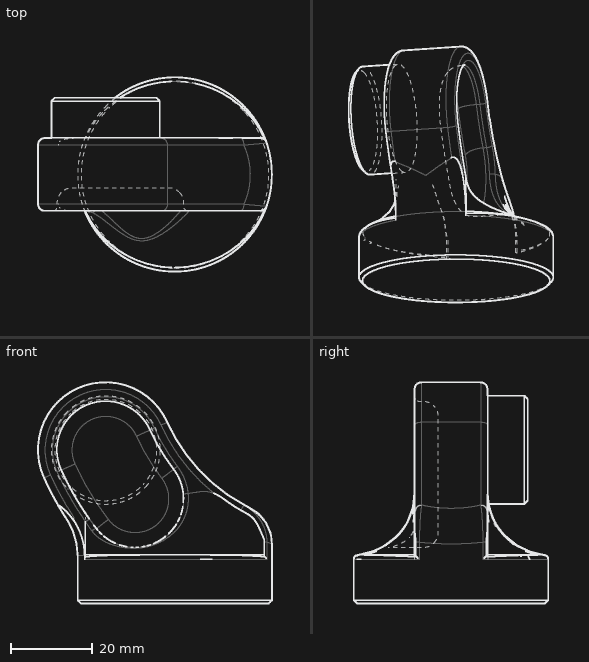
import cadquery as cq
import math

overall_length = 57.75
overall_height = 54.6

base_diameter = 48.0
base_radius = base_diameter / 2
base_height = 12.0
base_chamfer = 0.85
rim_fillet = 1.05

head_radius = 16.7
arm_half_thickness = 9.0
arm_edge_fillet = 1.75
bend_inner_radius = 43.95
bend_start_angle = 24.3
shoulder_fillet = 9.8
heel_radius = 16.15
foot_height = 5.8
foot_overrun = 2.3

boss_radius = 13.4
boss_end = 18.95
boss_chamfer = 0.85

pocket_radius = 12.0
pocket_depth = 5.8
pocket_sweep_angle = 13.3
pocket_floor_fillet = 3.7
pocket_mouth_fillet = 1.15

skirt_top = 27.4
skirt_half_width = base_radius - rim_fillet
skirt_rim_rise = 1.05
skirt_left_shoulder = -6.9
skirt_left_drop = 7.8
skirt_end_step = 0.05
skirt_section_count = 13

arc_handle = 0.55

clearance_size = 115.45

head_x = base_radius - overall_length + head_radius
head_z = overall_height - head_radius
bend_path_radius = bend_inner_radius + head_radius
bend_outer_radius = bend_path_radius + head_radius
bend_x = head_x + bend_path_radius * math.cos(math.radians(bend_start_angle))
bend_z = head_z + bend_path_radius * math.sin(math.radians(bend_start_angle))
pocket_end_angle = bend_start_angle + pocket_sweep_angle

heel_x = base_radius + heel_radius
heel_reach = bend_x + heel_x
heel_z = bend_z - math.sqrt((bend_outer_radius + heel_radius)**2 - heel_reach**2)
heel_angle = math.degrees(math.atan2(bend_z - heel_z, heel_reach))

shoulder_x = math.sqrt(base_radius**2 - arm_half_thickness**2) - shoulder_fillet
shoulder_center_distance = bend_inner_radius + shoulder_fillet
shoulder_z = bend_z - math.sqrt(shoulder_center_distance**2 - (bend_x - shoulder_x)**2)
shoulder_start_x = bend_x - (bend_x - shoulder_x) * bend_inner_radius / shoulder_center_distance


def polar(center_x, center_z, radius, angle):
    """Point (x, z) on a circle; the angle is measured from +X towards +Z."""
    turn = math.radians(angle)
    return center_x + radius * math.cos(turn), center_z + radius * math.sin(turn)


def bend_point(radius, angle):
    """Point (x, z) around the bend centre; the angle is measured from -X towards -Z."""
    return polar(bend_x, bend_z, radius, 180 + angle)


def bend_height(x):
    """Height of the arm's inner bend at x."""
    return bend_z - math.sqrt(bend_inner_radius**2 - (x - bend_x)**2)


def make_base():
    disc = cq.Workplane("XY").circle(base_radius).extrude(base_height)
    return disc.faces("<Z").chamfer(base_chamfer).edges(">Z").fillet(rim_fillet)


def arm_plate():
    """Extruded outline of the arm; its foot runs down into the base."""
    foot_x = base_radius + foot_overrun
    heel_top = bend_point(bend_outer_radius, heel_angle)
    outline = (
        cq.Workplane("XZ", origin=(0, arm_half_thickness, 0))
        .moveTo(heel_top[0], foot_height)
        .lineTo(*heel_top)
        .threePointArc(
            bend_point(bend_outer_radius, (heel_angle + bend_start_angle) / 2),
            bend_point(bend_outer_radius, bend_start_angle),
        )
        .threePointArc(
            polar(head_x, head_z, head_radius, 90 + bend_start_angle),
            bend_point(bend_inner_radius, bend_start_angle),
        )
        .threePointArc(
            bend_point(bend_inner_radius, 2 * bend_start_angle),
            (foot_x, bend_height(foot_x)),
        )
        .lineTo(foot_x, foot_height)
        .close()
    )
    return outline.extrude(2 * arm_half_thickness)


def heel_hollow():
    """Half ring on the left whose inner side curves from the outer bend into the base wall."""
    return (
        cq.Workplane("XZ")
        .moveTo(base_radius, foot_height)
        .lineTo(base_radius, heel_z)
        .threePointArc(
            polar(heel_x, heel_z, heel_radius, 135),
            (heel_x, heel_z + heel_radius),
        )
        .lineTo(heel_x, foot_height)
        .close()
        .revolve(180, (0, 0, 0), (0, 1, 0))
        .rotate((0, 0, 0), (0, 0, 1), 90)
    )


def make_arm():
    right_side = cq.Workplane("XY").box(
        clearance_size, clearance_size, clearance_size, centered=(False, True, True)
    )
    column = cq.Workplane("XY").circle(base_radius).extrude(clearance_size)
    arm = arm_plate().cut(right_side.cut(column))
    shoulder = cq.selectors.BoxSelector(
        (shoulder_x, -base_radius, base_height),
        (base_radius + foot_overrun, base_radius, overall_height),
        boundingbox=True,
    )
    arm = arm.edges(shoulder).edges("not #Y").fillet(shoulder_fillet)

    arm = arm.faces("<Y or >Y").edges("not <Z").fillet(arm_edge_fillet)
    return arm.cut(heel_hollow())


def skirt_top_height(x):
    """Top of the skirt: it sinks on the left and stays under the rounded arm edge on the right."""
    if x < skirt_left_shoulder:
        run = (skirt_left_shoulder - x) / (skirt_left_shoulder + base_radius)
        return skirt_top - skirt_left_drop * run**2
    if x < shoulder_start_x:
        edge = bend_height(max(x, bend_x - bend_inner_radius))
    else:
        edge = shoulder_z + math.sqrt(shoulder_fillet**2 - (x - shoulder_x)**2)
    return min(skirt_top, edge - arm_edge_fillet)


def skirt_section(x):
    """Cross-section at x, with a concave flare from the base rim up to each arm face."""
    top = skirt_top_height(x)
    wide = skirt_half_width * math.sqrt(1 - (x / base_radius)**2)
    flare_width = wide - arm_half_thickness
    rise = skirt_rim_rise * flare_width / (skirt_half_width - arm_half_thickness)
    flare = [
        (wide, base_height),
        (wide - arc_handle * flare_width, base_height + rise),
        (arm_half_thickness, top - arc_handle * (top - base_height)),
        (arm_half_thickness, top),
    ]
    mirrored_flare = [(-y, z) for y, z in reversed(flare)]
    plane = cq.Plane(origin=(x, 0, 0), xDir=(0, 1, 0), normal=(1, 0, 0))
    return (
        cq.Workplane(plane)
        .moveTo(-wide, foot_height)
        .lineTo(wide, foot_height)
        .lineTo(*flare[0])
        .bezier(flare)
        .lineTo(*mirrored_flare[0])
        .bezier(mirrored_flare)
        .close()
        .val()
    )


def make_skirt():
    start = math.asin((arm_half_thickness + skirt_end_step) / skirt_half_width)
    step = (math.pi - 2 * start) / (skirt_section_count - 1)
    places = [-base_radius * math.cos(start + i * step) for i in range(skirt_section_count)]
    return cq.Workplane(cq.Solid.makeLoft([skirt_section(x) for x in places]))


def make_boss():
    boss = cq.Workplane("XZ", origin=(head_x, 0, head_z)).circle(boss_radius).extrude(-boss_end)
    return boss.faces(">Y").chamfer(boss_chamfer)


def make_pocket():
    """Curved slot that follows the bend, concentric with the head at its upper end."""
    inner = bend_path_radius - pocket_radius
    outer = bend_path_radius + pocket_radius
    middle_angle = (bend_start_angle + pocket_end_angle) / 2
    end_x, end_z = bend_point(bend_path_radius, pocket_end_angle)
    pocket = (
        cq.Workplane("XZ", origin=(0, pocket_depth - arm_half_thickness, 0))
        .moveTo(*bend_point(outer, bend_start_angle))
        .threePointArc(
            polar(head_x, head_z, pocket_radius, 90 + bend_start_angle),
            bend_point(inner, bend_start_angle),
        )
        .threePointArc(bend_point(inner, middle_angle), bend_point(inner, pocket_end_angle))
        .threePointArc(
            polar(end_x, end_z, pocket_radius, pocket_end_angle - 90),
            bend_point(outer, pocket_end_angle),
        )
        .threePointArc(bend_point(outer, middle_angle), bend_point(outer, bend_start_angle))
        .close()
        .extrude(base_radius)
    )
    return pocket.faces(">Y").edges().fillet(pocket_floor_fillet)


def is_mouth_edge(edge):
    """True for edges on the pocket wall that lie at or in front of the arm's front face."""
    tolerance = 0.03
    point = edge.positionAt(0.5)
    angle = math.degrees(math.atan2(bend_z - point.z, bend_x - point.x))
    nearest_angle = min(max(angle, bend_start_angle), pocket_end_angle)
    path_x, path_z = bend_point(bend_path_radius, nearest_angle)
    distance = math.hypot(point.x - path_x, point.z - path_z)
    on_wall = abs(distance - pocket_radius) < tolerance
    return on_wall and point.y < tolerance - arm_half_thickness


body = make_base().union(make_arm()).union(make_skirt()).union(make_boss())
body = body.cut(make_pocket())
mouth_edges = [edge for edge in body.edges().vals() if is_mouth_edge(edge)]
result = body.newObject(mouth_edges).fillet(pocket_mouth_fillet)